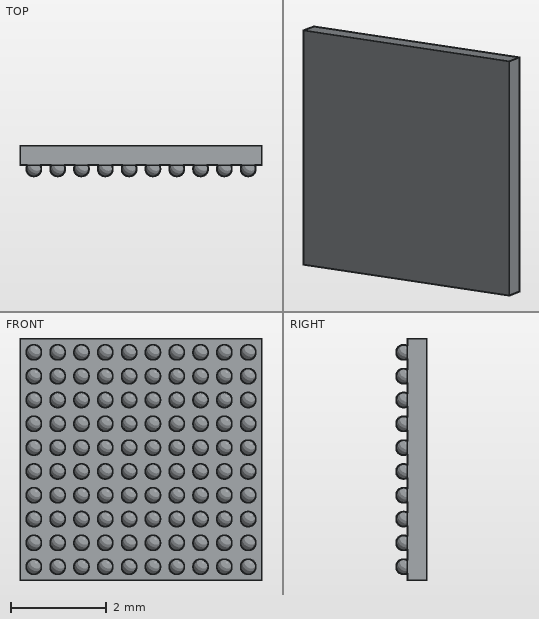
import cadquery as cq

body_side = 5.07
body_thickness = 0.41
overall_depth = 0.65

balls_per_side = 10
grid_span = 4.495
ball_diameter = 0.32

ball_pitch = grid_span / (balls_per_side - 1)
ball_radius = ball_diameter / 2
ball_standoff = overall_depth - body_thickness
ball_centre_y = ball_radius - ball_standoff


def make_body():
    """Plate with its -Y face at Y = 0, extending toward +Y."""
    return cq.Workplane("XY").box(body_side, body_thickness, body_side, centered=(True, False, True))


def make_balls():
    """Grid of spheres partly sunk into the plate."""
    return (
        cq.Workplane("XZ", origin=(0, ball_centre_y, 0))
        .rarray(ball_pitch, ball_pitch, balls_per_side, balls_per_side)
        .sphere(ball_radius)
    )


result = make_body().union(make_balls())